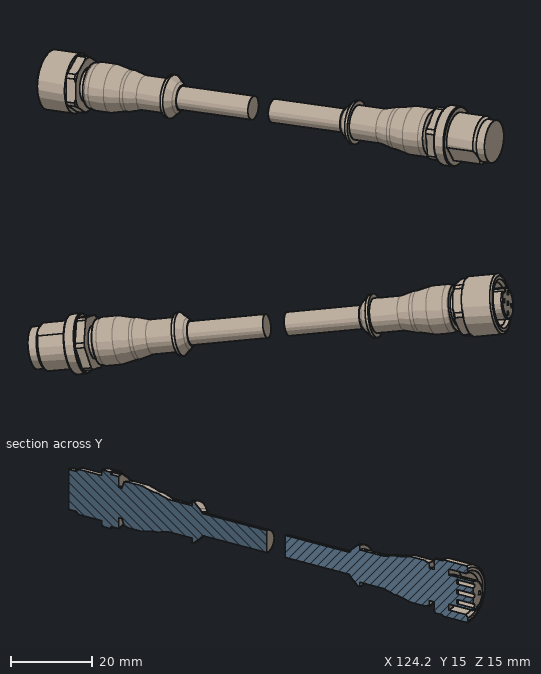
import cadquery as cq
import math

total_length = 124.2
cable_radius = 3.0
socket_cable_end = 57.8
plug_cable_start = 63.3

flange_tip_radius = 3.2
flange_lip_radius = 5.5
flange_shoulder_radius = 4.0
flange_shoulder = 0.7
flange_lip_start = 2.5
flange_length = 3.2
grip_waist_radius = 4.3
grip_band_radius = 5.2
grip_bulge_radius = 6.1
waist_end = 10.4
band_start = 13.8
band_end = 14.7
bulge_start = 18.6
bulge_end = 22.9
grip_shoulder = 24.1
grip_shoulder_radius = 5.7

socket_grip_cable_end = 38.0
socket_grip_length = 24.5
nut_start = 1.6
nut_end = 9.5
nut_diameter = 15.0
nut_radius = nut_diameter / 2
nut_chamfer_length = 0.4
nut_chamfer_depth = 0.6
bore_radius = 5.3
bore_mouth_radius = 6.1
bore_mouth_depth = 0.7
bore_floor = 7.5
insert_diameter = 7.8
insert_radius = insert_diameter / 2
insert_chamfer_length = 0.4
insert_chamfer_depth = 0.1
socket_grip_end_radius = grip_shoulder_radius
socket_neck_radius = 4.3
contact_radius = 0.5
contact_pitch_radius = 2.6
contact_depth = 5.0
key_radius = 0.6
key_centre_radius = 3.7

hex_across_flats = 13.0
hex_corner_radius = 7.2
hex_half_side_angle = 30
socket_hex_end = 12.0
hex_end_chamfer = 0.4

plug_grip_cable_end = 83.2
plug_grip_length = 24.6
plug_grip_end_radius = 4.5
plug_neck_radius = 4.1
plug_hex_start = 108.8
plug_hex_end = 111.2
plug_hex_turn = 10.5
plug_ring_end = 114.1
plug_ring_radius = nut_radius
plug_ring_chamfer = 0.2
barrel_diameter = 12.0
barrel_radius = barrel_diameter / 2
barrel_end = 122.0
barrel_chamfer = 0.6
sleeve_radius = 5.3


def cylinder(start, end, radius):
    """Solid cylinder on the X axis between two X positions."""
    return cq.Workplane("YZ", origin=(start, 0, 0)).circle(radius).extrude(end - start)


def turned(points):
    """Solid of revolution about X from (x, radius) points; the ends close on the axis."""
    outline = [(points[0][0], 0)] + points + [(points[-1][0], 0)]
    return cq.Workplane("XY").polyline(outline).close().revolve(360, (0, 0, 0), (1, 0, 0))


def hex_collar(length, turn, end_chamfer=0):
    """Hexagon from X = 0, its corners rounded off; at turn 0 two flats face +Y and -Y."""
    hexagon = (
        cq.Workplane("YZ")
        .polygon(6, hex_across_flats, circumscribed=True)
        .extrude(length)
        .rotate((0, 0, 0), (1, 0, 0), turn)
    )
    rounding = cylinder(0, length, hex_corner_radius)
    if end_chamfer:
        rounding = rounding.faces(">X").chamfer(end_chamfer)
    return hexagon.intersect(rounding)


def grip(length, end_radius):
    """Moulded grip with its cable end at X = 0 and its connector end at X = length."""
    return turned([
        (0, flange_tip_radius),
        (flange_shoulder, flange_shoulder_radius),
        (flange_lip_start, flange_lip_radius),
        (flange_length, flange_lip_radius),
        (flange_length, grip_waist_radius),
        (waist_end, grip_waist_radius),
        (band_start, grip_band_radius),
        (band_end, grip_band_radius),
        (bulge_start, grip_bulge_radius),
        (bulge_end, grip_bulge_radius),
        (grip_shoulder, grip_shoulder_radius),
        (length, end_radius),
    ])


def coupling_nut():
    """Round nut with a chamfered rim, hollow around the contact insert."""
    nut = turned([
        (nut_start, nut_radius - nut_chamfer_depth),
        (nut_start + nut_chamfer_length, nut_radius),
        (nut_end, nut_radius),
    ])
    bore = turned([
        (nut_start, bore_mouth_radius),
        (nut_start + bore_mouth_depth, bore_radius),
        (bore_floor, bore_radius),
    ])
    return nut.cut(bore)


def contact_insert():
    """Contact carrier with five contact holes and a round key slot along its side."""
    insert = turned([
        (0, insert_radius - insert_chamfer_depth),
        (insert_chamfer_length, insert_radius),
        (bore_floor, insert_radius),
    ])
    centres = [(0, 0)]
    for side in (-contact_pitch_radius, contact_pitch_radius):
        centres += [(side, 0), (0, side)]
    contacts = cq.Workplane("YZ").pushPoints(centres).circle(contact_radius).extrude(contact_depth)
    key_offset = key_centre_radius / math.sqrt(2)
    key_slot = cylinder(0, bore_floor, key_radius).translate((0, key_offset, key_offset))
    return insert.cut(contacts).cut(key_slot)


def socket_cable():
    """Cable end with the socket connector, one moulded body."""
    grip_end = socket_grip_cable_end - socket_grip_length
    socket_grip = grip(socket_grip_length, socket_grip_end_radius).mirror("YZ")
    collar = hex_collar(socket_hex_end - nut_end, 0, hex_end_chamfer)
    return (
        coupling_nut()
        .union(contact_insert())
        .union(collar.translate((nut_end, 0, 0)))
        .union(cylinder(socket_hex_end, grip_end, socket_neck_radius))
        .union(socket_grip.translate((socket_grip_cable_end, 0, 0)))
        .union(cylinder(socket_grip_cable_end, socket_cable_end, cable_radius))
    )


def plug_barrel():
    """Barrel with two opposite flats, level with the end sleeve and facing two hexagon corners."""
    barrel = turned([
        (plug_ring_end, barrel_radius),
        (barrel_end - barrel_chamfer, barrel_radius),
        (barrel_end, sleeve_radius),
    ])
    between_flats = (
        cq.Workplane("YZ", origin=(plug_ring_end, 0, 0))
        .rect(2 * sleeve_radius, 2 * barrel_radius)
        .extrude(barrel_end - plug_ring_end)
        .rotate((0, 0, 0), (1, 0, 0), hex_half_side_angle + plug_hex_turn)
    )
    return barrel.intersect(between_flats)


def plug_cable():
    """Cable end with the plug connector, one moulded body."""
    grip_end = plug_grip_cable_end + plug_grip_length
    collar = hex_collar(plug_hex_end - plug_hex_start, plug_hex_turn)
    ring = cylinder(plug_hex_end, plug_ring_end, plug_ring_radius).edges().chamfer(plug_ring_chamfer)
    return (
        cylinder(plug_cable_start, plug_grip_cable_end, cable_radius)
        .union(grip(plug_grip_length, plug_grip_end_radius).translate((plug_grip_cable_end, 0, 0)))
        .union(cylinder(grip_end, plug_hex_start, plug_neck_radius))
        .union(collar.translate((plug_hex_start, 0, 0)))
        .union(ring)
        .union(plug_barrel())
        .union(cylinder(barrel_end, total_length, sleeve_radius))
    )


result = cq.Compound.makeCompound([socket_cable().val(), plug_cable().val()])